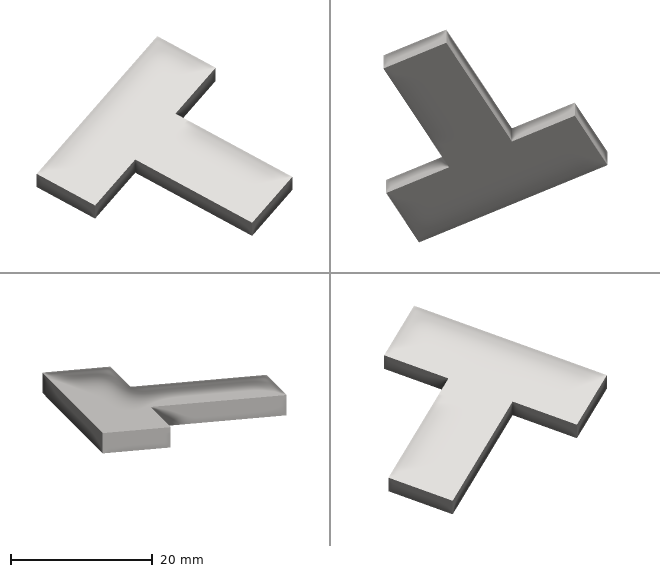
import cadquery as cq

overall_size = 30.0
thickness = 3.0
arm_width = overall_size / 3

crossbar = cq.Workplane("XY").box(arm_width, overall_size, thickness, centered=(False, True, False))

stem = cq.Workplane("XY").box(overall_size, arm_width, thickness, centered=(False, True, False))

result = crossbar.union(stem).clean()